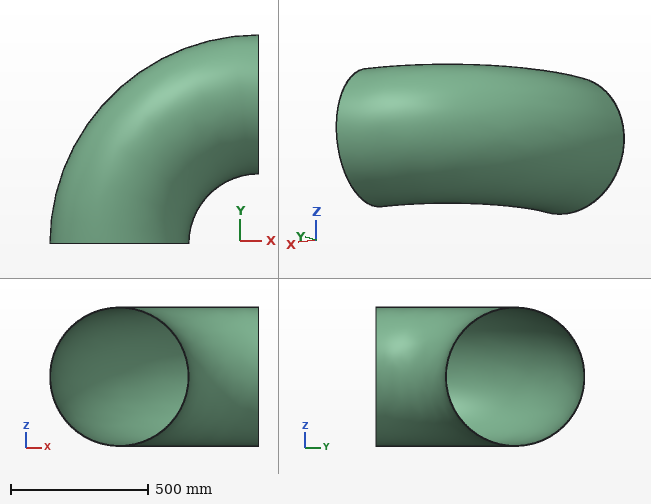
import cadquery as cq

overall_length = 762.0
bend_angle = 90.0
wall_thickness = 3.0

outer_radius = overall_length / 3
inner_radius = outer_radius - wall_thickness
bend_radius = 2 * outer_radius

end_section = cq.Workplane("XZ").circle(outer_radius).circle(inner_radius)

bend_axis_start = (bend_radius, 0)
bend_axis_end = (bend_radius, -1)
result = end_section.revolve(bend_angle, bend_axis_start, bend_axis_end)